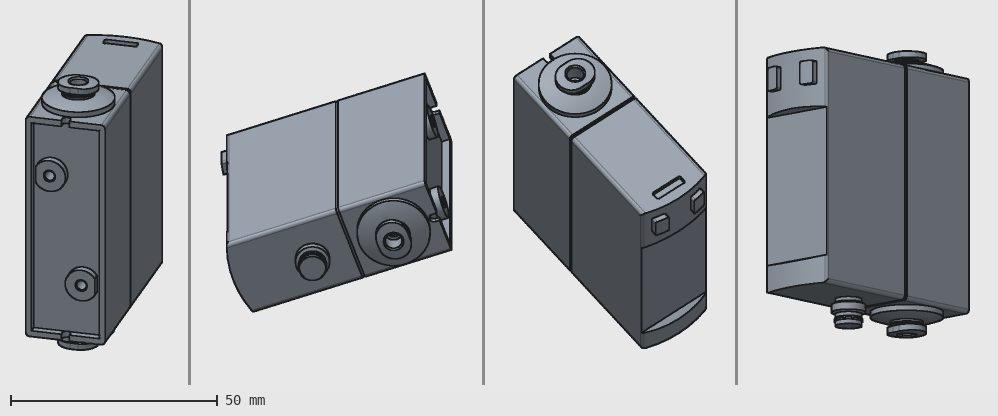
import cadquery as cq


WIDTH = 20.0
OVERALL_DEPTH = 53.69
OVERALL_HEIGHT = 70.54

FITTING_LENGTH = 5.74
CONNECTOR_LENGTH = 6.65
HEIGHT = OVERALL_HEIGHT - FITTING_LENGTH - CONNECTOR_LENGTH
HALF_WIDTH = WIDTH / 2
HALF_HEIGHT = HEIGHT / 2

BUTTON_INNER_X = 3.8
BUTTON_RISE = 1.4
BACK_RADIUS = 29.0
BUTTON_TOP_RADIUS = BACK_RADIUS + BUTTON_RISE
BUTTON_SAG = BUTTON_TOP_RADIUS - (BUTTON_TOP_RADIUS**2 - BUTTON_INNER_X**2) ** 0.5
BACK_Y = OVERALL_DEPTH - BUTTON_RISE + BUTTON_SAG
BACK_CENTER_Y = BACK_Y - BACK_RADIUS
BACK_CORNER_Y = BACK_CENTER_Y + (BACK_RADIUS**2 - HALF_WIDTH**2) ** 0.5
LONG_EDGE_RADIUS = 1.0
BACK_EDGE_RADIUS = 0.8

GROOVE_START_Y = 22.15
GROOVE_WIDTH = 0.6
GROOVE_DEPTH = 0.25

RECESS_FLOOR_Y = 50.6
RECESS_TOP_Z = 14.3
RECESS_BOTTOM_Z = -22.2
RECESS_SLOPE = 0.35

POCKET_WIDTH = 17.1
POCKET_HEIGHT = 55.0
POCKET_DEPTH = 2.05
BOSS_DIAMETER = 8.08
BOSS_X = 4.0
BOSS_Z = 14.0
BOSS_FLAT_X = 7.4
BOSS_HOLE_DIAMETER = 2.46
BOSS_HOLE_DEPTH = 5.0
BOSS_HOLE_CHAMFER = 0.25

NOTCH_WIDTH = 2.1
NOTCH_LENGTH = 2.15

SLOT_LENGTH = 8.44
SLOT_WIDTH = 2.3
SLOT_DEPTH = 1.0
SLOT_CORNER_RADIUS = 0.5
SLOT_Y = 48.55

BUTTON_WIDTH = 3.65
BUTTON_HEIGHT = 5.7
BUTTON_Z = 23.05
BUTTON_CORNER_RADIUS = 0.5

CONNECTOR_Y = 32.2
CONNECTOR_RADIUS = 6.5 / 2
COLLAR_RADIUS = 4.15
COLLAR_CONE_START = 0.9
COLLAR_START = 1.45
COLLAR_END = 3.3
COLLAR_CONE_END = 3.7
BEAD_RADIUS = 6.9 / 2
BEAD_CONE_START = 4.65
BEAD_START = 5.1
BEAD_END = 5.55

FITTING_Y = 11.4
CAP_RADIUS = 17.7 / 2
CAP_EDGE_HEIGHT = 1.4
DOME_HEIGHT = 2.5
RIM_RADIUS = 8.08 / 2
RIM_CHAMFER_HEIGHT = 3.05
RIM_TOP_RADIUS = 3.8
RIM_TOP_HEIGHT = 3.28
NECK_RADIUS = 5.8 / 2
RELEASE_START = 3.9
RELEASE_END_RADIUS = 3.97
RELEASE_STRAIGHT = 2.06
RELEASE_TOP_RADIUS = 25.0
BORE_DIAMETER = 4.1
BORE_MOUTH_RADIUS = 2.45
BORE_MOUTH_DEPTH = 0.4
BORE_FLOOR_HEIGHT = 1.0
FLOW_HOLE_DIAMETER = 2.46


def back_cylinder(radius):
    """Full-height cylinder about the axis of the curved back."""
    return cq.Workplane("XY").center(0, BACK_CENTER_Y).circle(radius).extrude(HALF_HEIGHT, both=True)


def front_block(width, height, start_y, end_y):
    """Block centred in X and Z, between two Y positions."""
    return cq.Workplane("XZ", origin=(0, start_y, 0)).rect(width, height).extrude(start_y - end_y)


def housing_shell():
    """Block with a curved back and rounded long edges."""
    shell = (
        cq.Workplane("XY")
        .workplane(offset=-HALF_HEIGHT)
        .moveTo(-HALF_WIDTH, 0)
        .lineTo(HALF_WIDTH, 0)
        .lineTo(HALF_WIDTH, BACK_CORNER_Y)
        .threePointArc((0, BACK_Y), (-HALF_WIDTH, BACK_CORNER_Y))
        .close()
        .extrude(HEIGHT)
        .edges("|Z")
        .edges(">Y")
        .fillet(BACK_EDGE_RADIUS)
    )
    rounded_bar = front_block(WIDTH, HEIGHT, 0, BACK_Y).edges("|Y").fillet(LONG_EDGE_RADIUS)
    return shell.intersect(rounded_bar)


def joint_groove():
    """Shallow ring cut around the four long faces."""
    end_y = GROOVE_START_Y + GROOVE_WIDTH
    core = front_block(WIDTH - 2 * GROOVE_DEPTH, HEIGHT - 2 * GROOVE_DEPTH, GROOVE_START_Y, end_y)
    core = core.edges("|Y").fillet(LONG_EDGE_RADIUS - GROOVE_DEPTH)
    return front_block(WIDTH, HEIGHT, GROOVE_START_Y, end_y).cut(core)


def display_recess():
    """Flat-floored cut across the whole width of the back."""
    rise = BACK_Y - RECESS_FLOOR_Y
    spread = rise * RECESS_SLOPE
    return (
        cq.Workplane("YZ")
        .moveTo(RECESS_FLOOR_Y, RECESS_BOTTOM_Z)
        .lineTo(BACK_Y, RECESS_BOTTOM_Z - spread)
        .lineTo(BACK_Y, RECESS_TOP_Z + spread)
        .lineTo(RECESS_FLOOR_Y, RECESS_TOP_Z)
        .close()
        .extrude(HALF_WIDTH, both=True)
    )


def boss():
    """Upper left boss, from the pocket floor to the front face, with a flat towards the side wall."""
    post = (
        cq.Workplane("XZ", origin=(-BOSS_X, POCKET_DEPTH, BOSS_Z))
        .circle(BOSS_DIAMETER / 2)
        .extrude(POCKET_DEPTH)
    )
    keep = cq.Workplane("XY").box(BOSS_DIAMETER, POCKET_DEPTH, BOSS_DIAMETER, centered=(False, False, True))
    return post.intersect(keep.translate((-BOSS_FLAT_X, 0, BOSS_Z)))


def boss_hole():
    """Blind hole of the upper left boss, with a chamfered mouth."""
    radius = BOSS_HOLE_DIAMETER / 2
    mouth_radius = radius + BOSS_HOLE_CHAMFER
    profile = (
        cq.Workplane("XY")
        .lineTo(mouth_radius, 0)
        .lineTo(radius, BOSS_HOLE_CHAMFER)
        .lineTo(radius, BOSS_HOLE_DEPTH)
        .lineTo(0, BOSS_HOLE_DEPTH)
        .close()
    )
    hole = profile.revolve(360, (0, 0, 0), (0, 1, 0))
    return hole.translate((-BOSS_X, 0, BOSS_Z))


def rim_notches():
    """Round-ended slot through the top and bottom rims of the pocket."""
    end_radius = NOTCH_WIDTH / 2
    straight = NOTCH_LENGTH - end_radius
    slot = (
        cq.Workplane("XY")
        .moveTo(-end_radius, 0)
        .lineTo(end_radius, 0)
        .lineTo(end_radius, straight)
        .threePointArc((0, NOTCH_LENGTH), (-end_radius, straight))
        .close()
        .extrude(HALF_HEIGHT, both=True)
    )
    return slot.cut(front_block(POCKET_WIDTH, POCKET_HEIGHT, 0, NOTCH_LENGTH))


def label_slot():
    """Shallow rounded rectangle in the top face."""
    return (
        cq.Workplane("XY", origin=(0, SLOT_Y, HALF_HEIGHT - SLOT_DEPTH))
        .rect(SLOT_LENGTH, SLOT_WIDTH)
        .extrude(SLOT_DEPTH)
        .edges("|Z")
        .fillet(SLOT_CORNER_RADIUS)
    )


def buttons():
    """Pair of buttons whose tops follow the curve of the back."""
    center_x = BUTTON_INNER_X + BUTTON_WIDTH / 2
    posts = (
        cq.Workplane("XZ", origin=(0, BACK_CENTER_Y, BUTTON_Z))
        .pushPoints([(-center_x, 0), (center_x, 0)])
        .rect(BUTTON_WIDTH, BUTTON_HEIGHT)
        .extrude(-BUTTON_TOP_RADIUS)
        .edges("|Y")
        .fillet(BUTTON_CORNER_RADIUS)
    )
    return posts.intersect(back_cylinder(BUTTON_TOP_RADIUS))


def connector():
    """Turned plug under the housing, with a collar and a snap bead."""
    profile = (
        cq.Workplane("XZ")
        .lineTo(CONNECTOR_RADIUS, 0)
        .lineTo(CONNECTOR_RADIUS, -COLLAR_CONE_START)
        .lineTo(COLLAR_RADIUS, -COLLAR_START)
        .lineTo(COLLAR_RADIUS, -COLLAR_END)
        .lineTo(CONNECTOR_RADIUS, -COLLAR_CONE_END)
        .lineTo(CONNECTOR_RADIUS, -BEAD_CONE_START)
        .lineTo(BEAD_RADIUS, -BEAD_START)
        .lineTo(BEAD_RADIUS, -BEAD_END)
        .lineTo(CONNECTOR_RADIUS, -BEAD_END)
        .lineTo(CONNECTOR_RADIUS, -CONNECTOR_LENGTH)
        .lineTo(0, -CONNECTOR_LENGTH)
        .close()
    )
    plug = profile.revolve(360, (0, 0, 0), (0, 1, 0))
    return plug.translate((0, CONNECTOR_Y, -HALF_HEIGHT))


def make_housing():
    body = housing_shell()
    body = body.cut(joint_groove()).cut(display_recess()).cut(label_slot())
    body = body.cut(front_block(POCKET_WIDTH, POCKET_HEIGHT, 0, POCKET_DEPTH)).cut(rim_notches())
    for turn in (0, 180):
        body = body.union(boss().rotate((0, 0, 0), (0, 1, 0), turn))
        body = body.cut(boss_hole().rotate((0, 0, 0), (0, 1, 0), turn))
    return body.union(buttons()).union(connector())


def fitting_cap():
    """Cap, level where its dome meets the rim, with a chamfered rim and a neck above."""
    dome_run = CAP_RADIUS - RIM_RADIUS
    dome_rise = DOME_HEIGHT - CAP_EDGE_HEIGHT
    dome_radius = (dome_run**2 + dome_rise**2) / (2 * dome_rise)
    middle_drop = dome_radius - (dome_radius**2 - (dome_run / 2) ** 2) ** 0.5
    dome_middle = (RIM_RADIUS + dome_run / 2, DOME_HEIGHT - middle_drop)
    profile = (
        cq.Workplane("XZ")
        .lineTo(CAP_RADIUS, 0)
        .lineTo(CAP_RADIUS, CAP_EDGE_HEIGHT)
        .threePointArc(dome_middle, (RIM_RADIUS, DOME_HEIGHT))
        .lineTo(RIM_RADIUS, RIM_CHAMFER_HEIGHT)
        .lineTo(RIM_TOP_RADIUS, RIM_TOP_HEIGHT)
        .lineTo(NECK_RADIUS, RIM_TOP_HEIGHT)
        .lineTo(NECK_RADIUS, RELEASE_START)
        .lineTo(0, RELEASE_START)
        .close()
    )
    return profile.revolve(360, (0, 0, 0), (0, 1, 0))


def release_ring():
    """Oval push ring with a slightly domed top."""
    ring = (
        cq.Workplane("XY")
        .workplane(offset=RELEASE_START)
        .slot2D(RELEASE_STRAIGHT + 2 * RELEASE_END_RADIUS, 2 * RELEASE_END_RADIUS)
        .extrude(FITTING_LENGTH - RELEASE_START)
    )
    mouth_level = (RELEASE_TOP_RADIUS**2 - BORE_MOUTH_RADIUS**2) ** 0.5
    dome = cq.Workplane("XY").sphere(RELEASE_TOP_RADIUS).translate((0, 0, FITTING_LENGTH - mouth_level))
    return ring.intersect(dome)


def fitting_bore():
    """Tube bore with a chamfered mouth, and the smaller flow hole below it."""
    bore_radius = BORE_DIAMETER / 2
    flow_radius = FLOW_HOLE_DIAMETER / 2
    profile = (
        cq.Workplane("XZ")
        .lineTo(flow_radius, 0)
        .lineTo(flow_radius, BORE_FLOOR_HEIGHT)
        .lineTo(bore_radius, BORE_FLOOR_HEIGHT)
        .lineTo(bore_radius, FITTING_LENGTH - BORE_MOUTH_DEPTH)
        .lineTo(BORE_MOUTH_RADIUS, FITTING_LENGTH)
        .lineTo(BORE_MOUTH_RADIUS, 2 * FITTING_LENGTH)
        .lineTo(0, 2 * FITTING_LENGTH)
        .close()
    )
    return profile.revolve(360, (0, 0, 0), (0, 1, 0))


def make_fitting():
    """Fitting standing on the XY plane, opening upwards."""
    return fitting_cap().union(release_ring()).cut(fitting_bore())


housing = make_housing()

fittings = []
for tilt in (0, 180):
    raised = make_fitting().translate((0, 0, HALF_HEIGHT))
    placed = raised.rotate((0, 0, 0), (0, 1, 0), tilt).translate((0, FITTING_Y, 0))
    fittings.append(placed.val())

result = cq.Compound.makeCompound([housing.val(), *fittings])